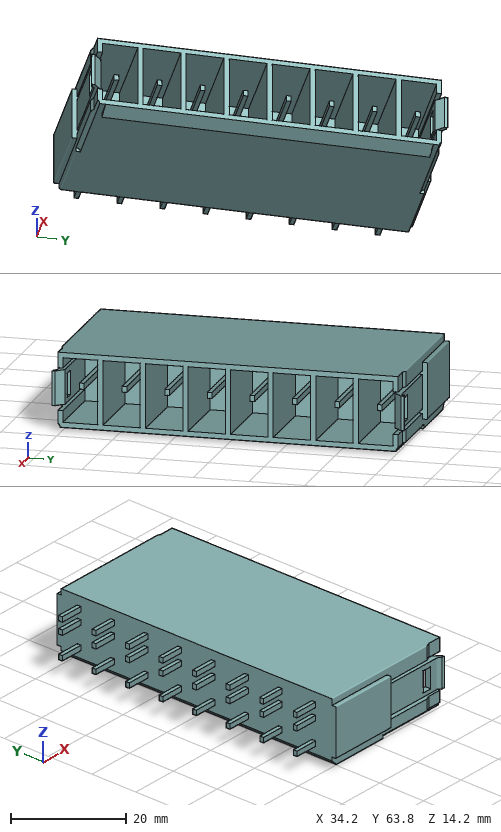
import cadquery as cq


body_length = 29.25
body_width = 61.9
body_height = 13.5
edge_round = 0.2
back_bevel = 1.3
side_y = body_width / 2

total_width = 63.75
end_block_length = 14.65
end_block_bottom = 2.05
end_block_top = 12.25

mouth_relief_depth = 0.4
mouth_relief_length = 3.0
mouth_relief_ramp = 0.95

groove_radius = 0.75
groove_start = 13.65

ridge_length = 3.0
ridge_width = 58.3
ridge_height = 0.75

pole_count = 8
pole_pitch = 7.65
side_wall = 1.3
floor_thickness = 0.95
bay_bottom = floor_thickness
bay_top = body_height - floor_thickness
partition_thickness = 0.95
pin_width = 0.8
pin_height = 1.1
terminal_length = 5.0
terminal_heights = (3.4, 8.4, 11.0)
contact_height = 7.15
contact_setback = 1.9

arm_bottom = 3.8
arm_top = 10.1
slot_bottom = 3.05
slot_top = 10.7
arm_tip_bevel = 1.4
lip_sweep_length = 0.8
lip_sweep_rise = 0.6
lip_length = 0.65
lip_height = 0.7
lip_radius = 0.4
window_setback = 4.9
window_start = body_length - window_setback
window_length = 2.0
window_bottom = 4.65
window_top = 9.0

pole_positions = [(i - (pole_count - 1) / 2) * pole_pitch for i in range(pole_count)]
bay_end_y = side_y - side_wall


def box_between(x_range, y_range, z_range):
    """Box given by its lower and upper limits along each axis."""
    (x0, x1), (y0, y1), (z0, z1) = x_range, y_range, z_range
    return cq.Workplane("XY").box(x1 - x0, y1 - y0, z1 - z0, centered=False).translate((x0, y0, z0))


def both_ends(feature):
    """The -Y end feature together with its mirror image on the +Y end."""
    return feature.union(feature.mirror("XZ"))


def make_block():
    block = box_between((0, body_length), (-side_y, side_y), (0, body_height))
    block = block.edges("|X").fillet(edge_round)
    bevel = cq.Workplane("XZ").polyline([(0, 0), (back_bevel, 0), (0, back_bevel)]).close()
    return block.cut(bevel.extrude(side_y, both=True))


def make_end_block():
    block = box_between(
        (0, end_block_length), (-total_width / 2, -bay_end_y), (end_block_bottom, end_block_top)
    )
    return block.edges("|X and <Y").fillet(edge_round)


def make_mouth_relief():
    relief_start = body_length - mouth_relief_length
    outline = [
        (relief_start - mouth_relief_ramp, -side_y),
        (relief_start, -side_y + mouth_relief_depth),
        (body_length, -side_y + mouth_relief_depth),
        (body_length, -side_y),
    ]
    return cq.Workplane("XY").polyline(outline).close().extrude(body_height)


def make_edge_groove():
    groove = cq.Workplane("YZ").center(-side_y, 0).circle(groove_radius)
    return groove.extrude(body_length - groove_start).translate((groove_start, 0, 0))


def make_ridge():
    """Ridge with a steep rear face, sloping up to the base at the mouth."""
    ridge_start = body_length - ridge_length
    outline = [(ridge_start, 0), (ridge_start, -ridge_height), (body_length, 0)]
    ridge = cq.Workplane("XZ").polyline(outline).close()
    return ridge.extrude(ridge_width / 2, both=True)


def make_bay(pole_y):
    """Open bay of one pole; the outermost bays reach out to the end walls."""
    half_bay = (pole_pitch - partition_thickness) / 2
    y_low = -bay_end_y if pole_y == pole_positions[0] else pole_y - half_bay
    y_high = bay_end_y if pole_y == pole_positions[-1] else pole_y + half_bay
    return box_between((end_block_length, body_length), (y_low, y_high), (bay_bottom, bay_top))


def make_pin(x_start, x_end, y, z):
    pin = cq.Workplane("YZ").center(y, z).rect(pin_width, pin_height)
    return pin.extrude(x_end - x_start).translate((x_start, 0, 0))


def make_arm_opening():
    return box_between((end_block_length, body_length), (-side_y, -bay_end_y), (slot_bottom, slot_top))


def make_arm():
    """Latch arm sweeping out to a rounded lip, with a bevelled inner tip, pierced by a window."""
    lip_start = body_length - lip_length
    arm = (
        cq.Workplane("XY")
        .moveTo(end_block_length, -bay_end_y)
        .lineTo(end_block_length, -side_y)
        .lineTo(lip_start - lip_sweep_length, -side_y)
        .tangentArcPoint((lip_start, -side_y - lip_sweep_rise), relative=False)
        .radiusArc((body_length, -side_y - lip_height), lip_radius)
        .lineTo(body_length, -bay_end_y - arm_tip_bevel)
        .lineTo(body_length - arm_tip_bevel, -bay_end_y)
        .close()
        .extrude(arm_top - arm_bottom)
        .translate((0, 0, arm_bottom))
    )
    window = box_between(
        (window_start, window_start + window_length), (-side_y, -bay_end_y), (window_bottom, window_top)
    )
    return arm.cut(window)


housing = make_block().cut(both_ends(make_mouth_relief())).cut(both_ends(make_edge_groove()))
housing = housing.union(make_ridge()).union(both_ends(make_end_block()))
for pole_y in pole_positions:
    housing = housing.cut(make_bay(pole_y))
housing = housing.cut(both_ends(make_arm_opening())).union(both_ends(make_arm()))

contact_end = body_length - contact_setback
for pole_y in pole_positions:
    for terminal_z in terminal_heights:
        housing = housing.union(make_pin(-terminal_length, 0, pole_y, terminal_z))
    housing = housing.union(make_pin(end_block_length, contact_end, pole_y, contact_height))

result = housing